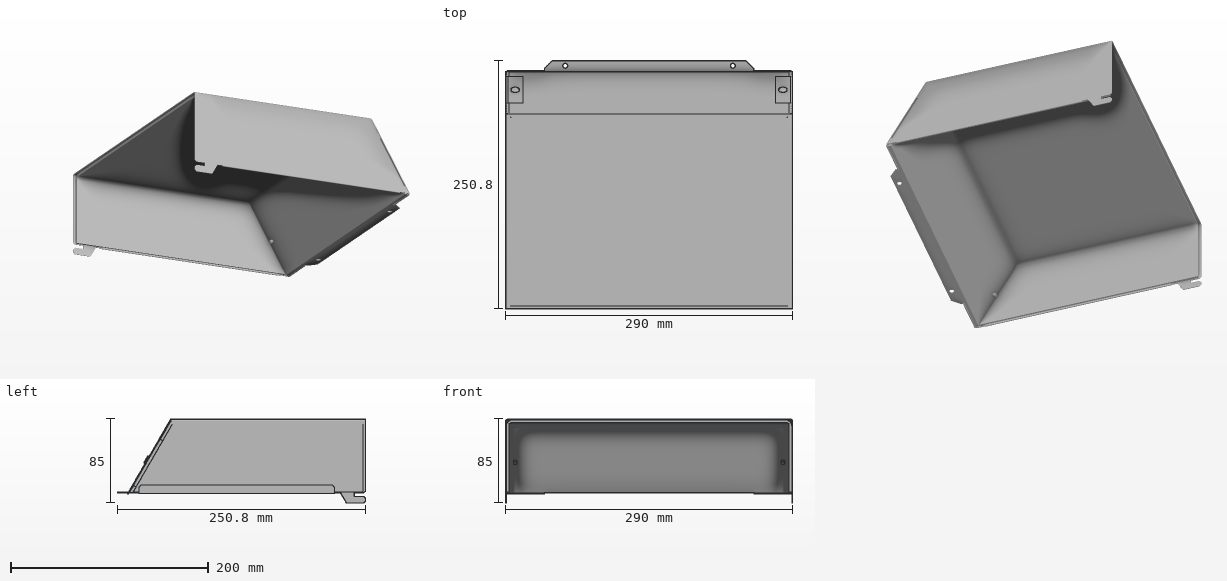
import cadquery as cq
import math

WIDTH = 290.0
TOTAL_HEIGHT = 85.0
HOOK_DROP = 10.5
HEIGHT = TOTAL_HEIGHT - HOOK_DROP
BASE_DEPTH = 240.0
SLANT = 60.0
SHEET = 0.8
BEND = 2.3
CORNER = 2.0
SLIT = 0.3
OVERSHOOT = 3.0

TAB_END = 250.8
TAB_WIDTH = 211.7
TAB_CHAMFER = 8.0
TAB_HOLE = 4.5
TAB_HOLE_SPACING = 169.5
TAB_HOLE_EDGE = 5.2
TAB_RELIEF = 1.0

HOOK_FOOT = 19.5
HOOK_SLOT_DEPTH = 11.3
HOOK_SLOT_HEIGHT = 3.5

HEM_FRONT = 31.5
HEM_BACK = 229.0
HEM_TOP = 7.8
HEM_FOLD = 0.72

FLANGE_LOW = 7.5
FLANGE_LENGTH = 54.0
FLANGE_REACH = 17.5

SCREW_SPACING = 270.5
SCREW_HEIGHT = 33.4
SCREW_HEAD = 8.7
HEAD_HEIGHT = 1.5
HEAD_ROUND = 1.0
SCREW_SHANK = 3.8
SCREW_TIP = 3.0

LINER = 2.5
LINER_FRONT = 2.5
LINER_BEND = 5.8
LINER_BACK_BEND = 7.8
LINER_BOTTOM = 1.0
LINER_GAP = 0.5

HALF = WIDTH / 2
SIDES = (-1, 1)
SIN_SLANT = math.sin(math.radians(SLANT))
COS_SLANT = math.cos(math.radians(SLANT))
LINER_SKIN = SHEET + LINER


def back_at(z, inset=0.0):
    """Y of the slanted plane at height z, moved square to itself into the hood by inset."""
    return BASE_DEPTH - (z * COS_SLANT + inset) / SIN_SLANT


def box(x, y, z):
    """Box between the given (low, high) limits."""
    size = [high - low for low, high in (x, y, z)]
    return cq.Workplane("XY").box(*size, centered=False).translate((x[0], y[0], z[0]))


def mirrored(body):
    return body.union(body.mirror("YZ"))


def hood_block(inset, front=0.0, bottom=0.0):
    """Solid with the outline of the hood, its side, top and back faces moved inward by inset."""
    top = HEIGHT - inset
    outline = [
        (front, bottom),
        (front, top),
        (back_at(top, inset), top),
        (back_at(bottom, inset), bottom),
    ]
    return cq.Workplane("YZ").polyline(outline).close().extrude(HALF - inset, both=True)


def slanted_layer(outer, inner, low, high, x):
    """Layer parallel to the slanted plane, between two insets and two heights, over the X limits."""
    outline = [
        (back_at(low, outer), low),
        (back_at(low, inner), low),
        (back_at(high, inner), high),
        (back_at(high, outer), high),
    ]
    return cq.Workplane("YZ", origin=(x[0], 0, 0)).polyline(outline).close().extrude(x[1] - x[0])


def slanted_plane(x, z):
    """Plane on the outside of the slanted panel: X as the part's X, Y down the slope."""
    return cq.Workplane(
        cq.Plane(
            origin=(x, back_at(z), z),
            xDir=(1, 0, 0),
            normal=(0, SIN_SLANT, COS_SLANT),
        )
    )


def hood_shell():
    outer = hood_block(0).edges("|Y and >Z").fillet(BEND)
    inner = hood_block(SHEET, -OVERSHOOT, -OVERSHOOT).edges("|Y and >Z").fillet(BEND - SHEET)
    shell = outer.cut(inner)
    shell = shell.edges("|X and <Y and <Z").chamfer(CORNER)
    slit_top = HEIGHT - BEND
    slit = slanted_layer(SHEET, SHEET + SLIT, -OVERSHOOT, slit_top, (-HALF, SHEET - HALF))
    return shell.cut(mirrored(slit))


def rear_skirt():
    """Lower ends of the slanted panel on both sides of the tab."""
    skirt = slanted_layer(0, SHEET, -TAB_RELIEF, 0, (-HALF, -TAB_WIDTH / 2))
    return mirrored(skirt)


def panel_corner():
    """Triangle that bevels the lower left corner of the slanted panel."""
    return (
        slanted_plane(-HALF, -TAB_RELIEF)
        .polyline([(0, 0), (CORNER, 0), (0, -CORNER)])
        .close()
        .extrude(-SHEET)
    )


def rear_tab():
    tab = box((-TAB_WIDTH / 2, TAB_WIDTH / 2), (back_at(0, SHEET), TAB_END), (0, SHEET))
    tab = tab.edges("|Z and >Y").chamfer(TAB_CHAMFER)
    hole_centres = [(side * TAB_HOLE_SPACING / 2, TAB_END - TAB_HOLE_EDGE) for side in SIDES]
    holes = cq.Workplane("XY").pushPoints(hole_centres).circle(TAB_HOLE / 2).extrude(SHEET)
    return tab.cut(holes)


def hook():
    heel = HOOK_FOOT + HOOK_DROP * COS_SLANT / SIN_SLANT
    return (
        cq.Workplane("YZ", origin=(-HALF, 0, 0))
        .moveTo(heel, 0)
        .lineTo(HOOK_FOOT, -HOOK_DROP)
        .lineTo(CORNER, -HOOK_DROP)
        .lineTo(0, CORNER - HOOK_DROP)
        .lineTo(0, -HOOK_SLOT_HEIGHT - CORNER)
        .lineTo(CORNER, -HOOK_SLOT_HEIGHT)
        .lineTo(HOOK_SLOT_DEPTH, -HOOK_SLOT_HEIGHT)
        .lineTo(HOOK_SLOT_DEPTH, SHEET)
        .lineTo(heel, SHEET)
        .close()
        .extrude(SHEET)
    )


def hem():
    """Strip folded flat against the inside of the left wall, with a rounded fold at the bottom."""
    fold = box((-HALF, 2 * SHEET - HALF), (HEM_FRONT, HEM_BACK), (-SHEET, HEM_TOP))
    fold = fold.edges("|Y and <Z").fillet(HEM_FOLD)
    return fold.edges("|X and >Z").chamfer(CORNER)


def flange_plane():
    """Plane square to the slope at the foot of the left flange: X inward, -Y away from the panel."""
    return cq.Workplane(
        cq.Plane(
            origin=(-HALF, back_at(FLANGE_LOW, SHEET), FLANGE_LOW),
            xDir=(1, 0, 0),
            normal=(0, -COS_SLANT, SIN_SLANT),
        )
    )


def flange_clearance():
    """Part of the left wall that the bend of its flange replaces."""
    return flange_plane().rect(SHEET, -BEND, centered=False).extrude(FLANGE_LENGTH)


def screw_flange():
    """Flange bent inward from the left wall, running up the slope."""
    return (
        flange_plane()
        .moveTo(0, -BEND)
        .radiusArc((BEND, 0), BEND)
        .lineTo(FLANGE_REACH, 0)
        .lineTo(FLANGE_REACH, -SHEET)
        .lineTo(BEND, -SHEET)
        .radiusArc((SHEET, -BEND), SHEET - BEND)
        .close()
        .extrude(FLANGE_LENGTH)
    )


def screw_plane(side):
    return slanted_plane(side * SCREW_SPACING / 2, SCREW_HEIGHT)


def make_shank(side):
    return screw_plane(side).circle(SCREW_SHANK / 2).extrude(-LINER_SKIN - SCREW_TIP)


def make_screw(side):
    head = screw_plane(side).circle(SCREW_HEAD / 2).extrude(HEAD_HEIGHT)
    head = head.faces(">Z").edges().fillet(HEAD_ROUND)
    return head.union(make_shank(side))


def make_hood():
    hood = hood_shell().cut(mirrored(flange_clearance()))
    hood = hood.union(rear_skirt()).cut(mirrored(panel_corner())).union(rear_tab())
    for feature in (hook(), hem(), screw_flange()):
        hood = hood.union(mirrored(feature))
    for side in SIDES:
        hood = hood.cut(make_shank(side))
    return hood


def liner_block(inset, front, bottom, side_bend, back_bend):
    """Hood outline with its top edges rounded along the sides and along the back."""
    block = hood_block(inset, front, bottom)
    sides_rounded = block.edges("|Y and >Z").fillet(side_bend)
    back_rounded = block.edges("|X and >Z and (not <Y)").fillet(back_bend)
    return sides_rounded.intersect(back_rounded)


def liner_corner():
    """Open corner between the left side and the slanted back of the liner."""
    return slanted_layer(0, LINER_SKIN + LINER_GAP, -OVERSHOOT, HEIGHT, (-HALF, LINER_SKIN - HALF))


def liner_side_trim():
    """Strip below the left side of the liner, which stops above the lower edge of the wall."""
    return box((-HALF, LINER_SKIN - HALF), (0, BASE_DEPTH), (-OVERSHOOT, LINER_BOTTOM))


def make_liner(hood):
    outer = liner_block(SHEET, LINER_FRONT, 0, LINER_BEND, LINER_BACK_BEND)
    cavity = liner_block(LINER_SKIN, -OVERSHOOT, -OVERSHOOT, LINER_BEND - LINER, LINER_BACK_BEND - LINER)
    liner = outer.cut(cavity).cut(mirrored(liner_corner())).cut(mirrored(liner_side_trim()))
    liner = liner.cut(hood)
    for side in SIDES:
        liner = liner.cut(make_shank(side))
    return liner


hood = make_hood()
liner = make_liner(hood)
screws = [make_screw(side) for side in SIDES]
result = cq.Compound.makeCompound([hood.val(), liner.val(), *[screw.val() for screw in screws]])